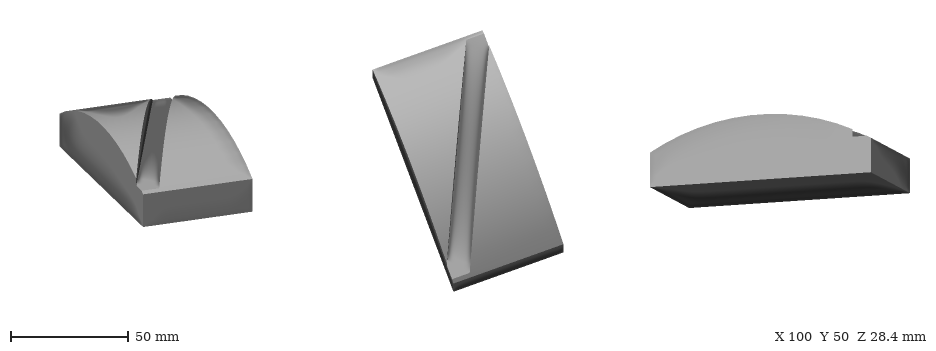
import cadquery as cq
import math

length = 100.0
width = 50.0
side_height = 15.0
crown_radius = 100.0
slot_width = 10.0
slot_angle = -25.0
slot_floor_height = 16.0

crown_rise = crown_radius - math.sqrt(crown_radius**2 - (length / 2) ** 2)
crown_height = side_height + crown_rise


def crowned_block():
    """Block centred in plan, with a cylindrical top whose axis runs along Y."""
    return (
        cq.Workplane("XZ")
        .moveTo(-length / 2, 0)
        .lineTo(length / 2, 0)
        .lineTo(length / 2, side_height)
        .threePointArc((0, crown_height), (-length / 2, side_height))
        .close()
        .extrude(width / 2, both=True)
    )


def diagonal_slot():
    """Flat-floored slot that runs out of the block at both ends."""
    cutter_length = 2 * (length + width)
    return (
        cq.Workplane("XY", origin=(0, 0, slot_floor_height))
        .transformed(rotate=(0, 0, slot_angle))
        .rect(cutter_length, slot_width)
        .extrude(crown_height)
    )


result = crowned_block().cut(diagonal_slot())